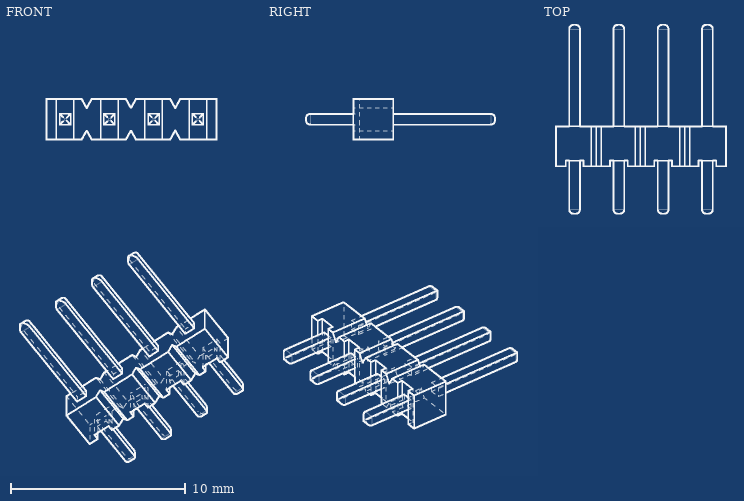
import cadquery as cq

PIN_COUNT = 4
PIN_PITCH = 2.54
PIN_WIDTH = 0.63
PIN_LENGTH = 10.85
TIP_RADIUS = 0.26

HOUSING_LENGTH = 9.75
HOUSING_DEPTH = 2.29
HOUSING_HEIGHT = 2.34
FRONT_PIN_REACH = 2.72

CHANNEL_WIDTH = 1.0
CHANNEL_DEPTH = 0.33

GROOVE_WIDTH = 0.58
GROOVE_DEPTH = 0.52
GROOVE_SHIFT = -0.03

HOUSING_FRONT = -PIN_LENGTH / 2 + FRONT_PIN_REACH
HOUSING_MIDDLE = HOUSING_FRONT + HOUSING_DEPTH / 2
PIN_POSITIONS = [(i - (PIN_COUNT - 1) / 2) * PIN_PITCH for i in range(PIN_COUNT)]
GROOVE_POSITIONS = [x + PIN_PITCH / 2 + GROOVE_SHIFT for x in PIN_POSITIONS[:-1]]


def make_housing():
    """Plain block that carries the pins."""
    block = cq.Workplane("XY").box(HOUSING_LENGTH, HOUSING_DEPTH, HOUSING_HEIGHT)
    return block.translate((0, HOUSING_MIDDLE, 0))


def make_channel(x):
    """Cutter for the front channel around the pin at x."""
    channel = cq.Workplane("XY").box(CHANNEL_WIDTH, CHANNEL_DEPTH, HOUSING_HEIGHT)
    return channel.translate((x, HOUSING_FRONT + CHANNEL_DEPTH / 2, 0))


def make_groove(x, side):
    """Cutter for a V groove along Y at x; side is +1 for the top, -1 for the bottom."""
    face_z = side * HOUSING_HEIGHT / 2
    outline = [
        (x - GROOVE_WIDTH / 2, face_z),
        (x + GROOVE_WIDTH / 2, face_z),
        (x, face_z - side * GROOVE_DEPTH),
    ]
    front_plane = cq.Workplane("XZ", origin=(0, HOUSING_MIDDLE, 0))
    return front_plane.polyline(outline).close().extrude(HOUSING_DEPTH / 2, both=True)


def make_pin():
    """Square pin along Y whose end faces are rounded on all four sides, meeting in mitred corners."""
    bar = cq.Workplane("XY").box(PIN_WIDTH, PIN_LENGTH, PIN_WIDTH)
    rounded_in_plan = bar.edges("|Z").fillet(TIP_RADIUS)
    rounded_in_profile = bar.edges("|X").fillet(TIP_RADIUS)
    return rounded_in_plan.intersect(rounded_in_profile)


result = make_housing()

for groove_x in GROOVE_POSITIONS:
    for groove_side in (1, -1):
        result = result.cut(make_groove(groove_x, groove_side))

for pin_x in PIN_POSITIONS:
    result = result.cut(make_channel(pin_x))
    result = result.union(make_pin().translate((pin_x, 0, 0)))